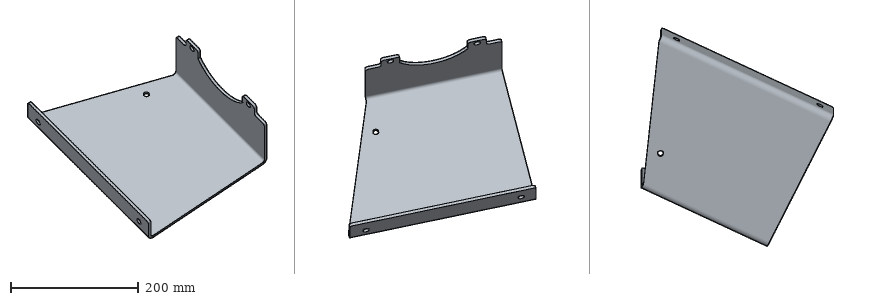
import cadquery as cq
import math

length = 300.0
depth = 240.0
height = 124.0
thickness = 5.0
inner_bend = 5.0
outer_bend = inner_bend + thickness
corner_radius = 5.0

front_height = 48.0
flange_hole_diameter = 10.0
front_holes = [(26.0, 22.5), (276.0, 25.2)]

rear_left = 80.0
rear_center = (rear_left + length) / 2
shoulder_height = 103.8
tab_width = 30.0
tab_hole_offset = 70.0
tab_inner = tab_hole_offset - tab_width / 2
tab_outer = tab_hole_offset + tab_width / 2
tab_hole_height = 115.0
saddle_radius = 70.0

base_hole = (82.2, 173.7)
base_hole_diameter = 9.0


def bent_channel():
    """Sheet of constant thickness, bent up along its front and rear edges."""
    return (
        cq.Workplane("XY")
        .box(length, depth, height, centered=False)
        .edges("|X and <Z").fillet(outer_bend)
        .cut(channel_cavity())
    )


def channel_cavity():
    """Open space between the flanges, rounded to the inner bend radius."""
    return (
        cq.Workplane("XY")
        .box(length, depth - 2 * thickness, 2 * height, centered=False)
        .edges("|X and <Z").fillet(inner_bend)
        .translate((0, thickness, thickness))
    )


def plan_envelope():
    """Base outline: the left edge slopes between the two bend lines."""
    return (
        cq.Workplane("XY")
        .polyline([
            (0, 0), (length, 0), (length, depth), (rear_left, depth),
            (rear_left, depth - outer_bend), (0, outer_bend),
        ])
        .close()
        .extrude(height)
    )


def front_envelope():
    """Front flange outline, thickened back to the middle of the base."""
    return (
        cq.Workplane("XY")
        .box(length, depth / 2, front_height, centered=False)
        .edges("|Y and >Z").fillet(corner_radius)
    )


def rear_envelope():
    """Rear flange outline with two tabs beside a round saddle."""
    rear_depth = depth / 2
    plate = cq.Workplane("XY").box(
        length - rear_left, rear_depth, shoulder_height, centered=False
    ).translate((rear_left, rear_depth, 0))
    base = cq.Workplane("XY").box(length, rear_depth, outer_bend, centered=False)
    base = base.translate((0, rear_depth, 0))
    plate = plate.edges("|Y and >Z").fillet(corner_radius)
    saddle_center = shoulder_height + math.sqrt(saddle_radius**2 - tab_inner**2)
    saddle = (
        cq.Workplane("XZ", origin=(rear_center, depth, saddle_center))
        .circle(saddle_radius)
        .extrude(rear_depth)
    )
    plate = plate.cut(saddle).union(base)
    for side in (-1, 1):
        plate = plate.union(tab(side, rear_depth))
    return plate


def tab(side, tab_depth):
    """Tab with rounded top corners and a concave fillet at its outer foot."""
    inner = rear_center + side * tab_inner
    outer = rear_center + side * tab_outer
    r = corner_radius
    mid = r * (1 - math.sqrt(0.5))
    root = shoulder_height - r
    return (
        cq.Workplane("XZ", origin=(0, depth, 0))
        .moveTo(inner, shoulder_height)
        .lineTo(inner, height - r)
        .threePointArc((inner + side * mid, height - mid), (inner + side * r, height))
        .lineTo(outer - side * r, height)
        .threePointArc((outer - side * mid, height - mid), (outer, height - r))
        .lineTo(outer, shoulder_height + r)
        .threePointArc(
            (outer + side * mid, shoulder_height + mid), (outer + side * r, shoulder_height)
        )
        .lineTo(outer, root)
        .lineTo(inner + side * r, root)
        .close()
        .extrude(tab_depth)
    )


def flange_drill(x, z, y_start):
    """Drill along Y through a single flange."""
    return (
        cq.Workplane("XZ", origin=(x, y_start + outer_bend, z))
        .circle(flange_hole_diameter / 2)
        .extrude(2 * outer_bend)
    )


flange_outlines = front_envelope().union(rear_envelope())
result = bent_channel().intersect(plan_envelope()).intersect(flange_outlines)

for hole_x, hole_z in front_holes:
    result = result.cut(flange_drill(hole_x, hole_z, 0))
for side in (-1, 1):
    result = result.cut(flange_drill(rear_center + side * tab_hole_offset, tab_hole_height, depth))

result = result.cut(
    cq.Workplane("XY").center(*base_hole).circle(base_hole_diameter / 2).extrude(outer_bend)
)